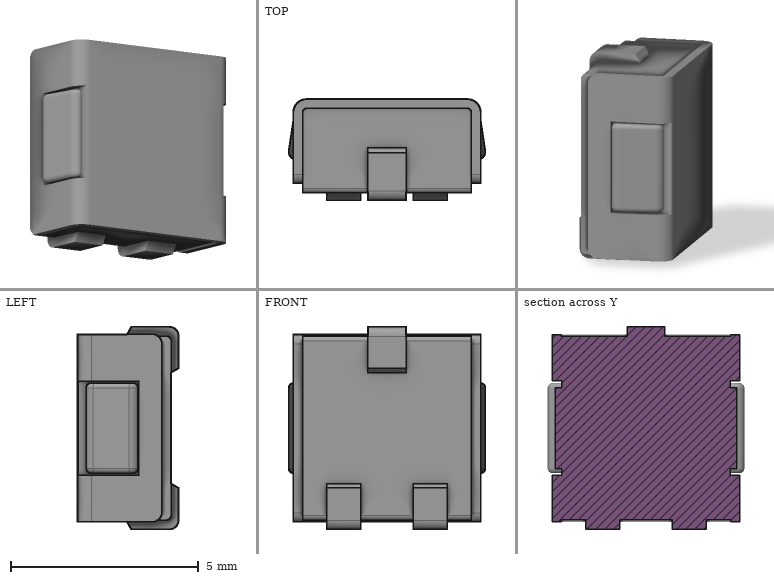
import cadquery as cq
import math

shell_width = 5.0
shell_height = 5.0
wall = 0.25
back_y = 1.35
shell_front_y = -0.9
shell_corner_radius = 0.37
shell_front_radius = wall

core_width = shell_width - 2 * wall
core_height = 4.9
core_front_y = -1.15
core_back_y = back_y - wall
core_back_radius = shell_corner_radius - wall
core_front_radius = 0.125

window_height = 2.5
window_front_y = -0.28
latch_height = 2.4
latch_back_y = 1.115
latch_front_y = -0.265
latch_reach_x = 2.62
latch_slope = math.radians(8.5)
latch_end_radius = 0.21
latch_rim_radius = 0.13

terminal_outer_z = 2.7
terminal_front_y = -1.35
terminal_back_y = 0.055
terminal_end_z = 1.48
terminal_bend_radius = 0.25
terminal_end_bevel = math.radians(30)
upper_terminal_width = 1.02
lower_terminal_width = 0.91
lower_terminal_spacing = 2.3


def make_shell():
    """U-shaped wall, open toward -Y and at the top and bottom."""
    shell = (
        cq.Workplane("XY")
        .box(shell_width, back_y - shell_front_y, shell_height)
        .translate((0, (back_y + shell_front_y) / 2, 0))
        .edges("|Z and >Y")
        .fillet(shell_corner_radius)
        .edges("|X and <Y")
        .fillet(shell_front_radius)
    )
    cavity = (
        cq.Workplane("XY")
        .box(core_width, core_back_y - shell_front_y, shell_height)
        .translate((0, (core_back_y + shell_front_y) / 2, 0))
        .edges("|Z and >Y")
        .fillet(core_back_radius)
    )
    return shell.cut(cavity)


def make_core():
    """Block that fills the shell and stands out of its front."""
    return (
        cq.Workplane("XY")
        .box(core_width, core_back_y - core_front_y, core_height)
        .translate((0, (core_back_y + core_front_y) / 2, 0))
        .edges("|Z and >Y")
        .fillet(core_back_radius)
        .edges("|X and <Y")
        .fillet(core_front_radius)
    )


def make_window(side):
    """Cutter as deep as the side wall, open through the rounded back corner."""
    window_mid_x = (shell_width - wall) / 2
    return (
        cq.Workplane("XY")
        .box(wall, back_y - window_front_y, window_height)
        .translate((side * window_mid_x, (back_y + window_front_y) / 2, 0))
    )


def make_latch(side):
    """Wedge that rises toward the front, rounded at both ends and along its rim."""
    root_x = core_width / 2 - wall
    corner_rise = latch_end_radius * ((1 + math.sin(latch_slope)) / math.cos(latch_slope) - 1)
    front_x = latch_reach_x + corner_rise
    back_x = front_x - (latch_back_y - latch_front_y) * math.tan(latch_slope)
    latch = (
        cq.Workplane("XY")
        .polyline([
            (root_x, latch_back_y),
            (back_x, latch_back_y),
            (front_x, latch_front_y),
            (root_x, latch_front_y),
        ])
        .close()
        .extrude(latch_height / 2, both=True)
        .edges("|Z and (not <X)")
        .fillet(latch_end_radius)
        .faces("|Z")
        .edges("not <X")
        .fillet(latch_rim_radius)
    )
    return latch if side > 0 else latch.mirror("YZ")


def make_terminal(width, centre_x, side):
    """L-shaped strip over the top (side = 1) or bottom (side = -1) edge, with bevelled ends."""
    core_z = core_height / 2
    outer_back_y = terminal_back_y - (terminal_outer_z - core_z) * math.tan(terminal_end_bevel)
    outer_end_z = terminal_end_z + (core_front_y - terminal_front_y) * math.tan(terminal_end_bevel)
    inner_y = core_front_y + core_front_radius
    inner_z = core_z - core_front_radius
    outer_corner = cq.selectors.NearestToPointSelector((0, terminal_front_y, terminal_outer_z))
    terminal = (
        cq.Workplane("YZ")
        .moveTo(outer_back_y, terminal_outer_z)
        .lineTo(terminal_front_y, terminal_outer_z)
        .lineTo(terminal_front_y, outer_end_z)
        .lineTo(core_front_y, terminal_end_z)
        .lineTo(inner_y, terminal_end_z)
        .lineTo(inner_y, inner_z)
        .lineTo(terminal_back_y, inner_z)
        .lineTo(terminal_back_y, core_z)
        .close()
        .extrude(width / 2, both=True)
        .edges(outer_corner)
        .fillet(terminal_bend_radius)
        .translate((centre_x, 0, 0))
    )
    return terminal if side > 0 else terminal.mirror("XY")


result = make_shell()
for side in (-1, 1):
    result = result.cut(make_window(side))
result = result.union(make_core())
for side in (-1, 1):
    result = result.union(make_latch(side))

result = result.union(make_terminal(upper_terminal_width, 0, 1))
for side in (-1, 1):
    terminal_x = side * lower_terminal_spacing / 2
    result = result.union(make_terminal(lower_terminal_width, terminal_x, -1))